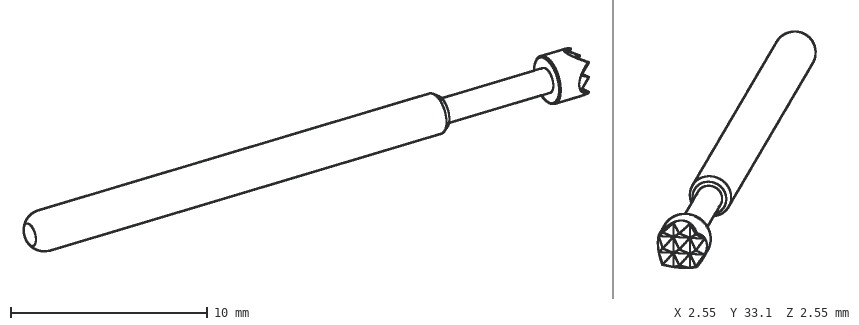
import cadquery as cq
import math

length = 33.1
tip_y = length / 2
tail_y = -length / 2

head_radius = 1.275
head_length = 2.02
head_chamfer = 0.05

shank_radius = 0.65

barrel_radius = 1.075
barrel_length = 24.7
mouth_chamfer_length = 0.3
mouth_chamfer_depth = 0.2
tail_round_length = 0.85
tail_flat_radius = 0.6

tooth_pitch = 0.85
inner_groove_angle = 66.0
outer_groove_angle = 52.0

head_base_y = tip_y - head_length
barrel_mouth_y = tail_y + barrel_length


def make_body():
    """Head, shank and barrel turned about the Y axis."""
    tail_drop = barrel_radius - tail_flat_radius
    tail_arc_radius = (tail_round_length**2 + tail_drop**2) / (2 * tail_drop)
    half_sweep = math.asin(tail_round_length / tail_arc_radius) / 2
    tail_mid = (
        barrel_radius - tail_arc_radius * (1 - math.cos(half_sweep)),
        tail_y + tail_round_length - tail_arc_radius * math.sin(half_sweep),
    )
    profile = (
        cq.Workplane("XY")
        .moveTo(0, tail_y)
        .lineTo(tail_flat_radius, tail_y)
        .threePointArc(tail_mid, (barrel_radius, tail_y + tail_round_length))
        .lineTo(barrel_radius, barrel_mouth_y - mouth_chamfer_length)
        .lineTo(barrel_radius - mouth_chamfer_depth, barrel_mouth_y)
        .lineTo(shank_radius, barrel_mouth_y)
        .lineTo(shank_radius, head_base_y)
        .lineTo(head_radius - head_chamfer, head_base_y)
        .lineTo(head_radius, head_base_y + head_chamfer)
        .lineTo(head_radius, tip_y)
        .lineTo(0, tip_y)
        .close()
    )
    return profile.revolve(360, (0, 0, 0), (0, 1, 0))


def make_groove(center, half_width, angle):
    """V groove running along Z, with its bottom at X = center."""
    depth = half_width / math.tan(math.radians(angle / 2))
    return (
        cq.Workplane("XY")
        .polyline([
            (center - half_width, tip_y),
            (center, tip_y - depth),
            (center + half_width, tip_y),
        ])
        .close()
        .extrude(2 * head_radius, both=True)
    )


def cut_teeth(body):
    """Leave a 3 x 3 grid of pyramids by cutting grooves along Z and along X."""
    between_rows = tooth_pitch / 2
    outside_rows = head_radius - tooth_pitch
    for side in (-1, 1):
        grooves = [
            make_groove(side * between_rows, between_rows, inner_groove_angle),
            make_groove(side * head_radius, outside_rows, outer_groove_angle),
        ]
        for groove in grooves:
            crossing_groove = groove.rotate((0, 0, 0), (0, 1, 0), 90)
            body = body.cut(groove).cut(crossing_groove)
    return body


result = cut_teeth(make_body())